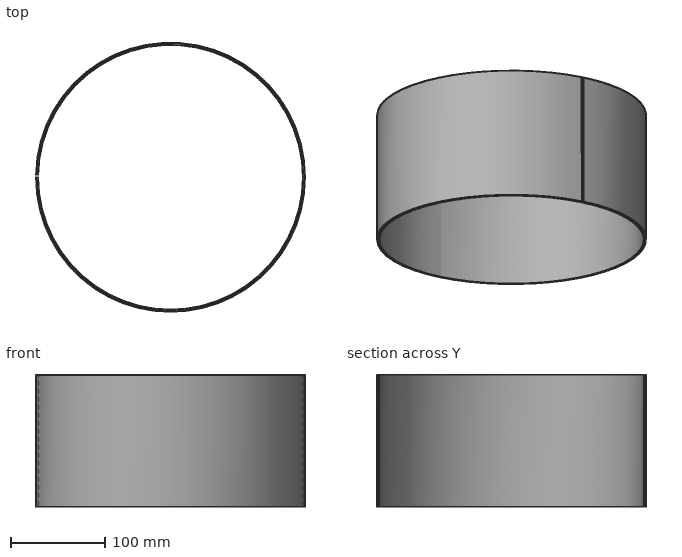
import cadquery as cq

outer_diameter = 285.0
height = 140.0
wall = 2.5

outer_chamfer = 0.5
bore_chamfer = 0.2

slit_angle = 1.0

outer_radius = outer_diameter / 2
bore_radius = outer_radius - wall


def make_ring():
    """Thin tube standing on Z = 0, with all four rim edges bevelled."""
    body = cq.Workplane("XY").circle(outer_radius).extrude(height)
    body = body.faces("<Z or >Z").chamfer(outer_chamfer)
    body = body.faces(">Z").workplane().circle(bore_radius).cutThruAll()
    bore_edges = cq.selectors.RadiusNthSelector(0)
    return body.faces("<Z or >Z").edges(bore_edges).chamfer(bore_chamfer)


def make_slit():
    """Full-height wedge that opens the wall on the -X side."""
    section = cq.Workplane("XZ").rect(-(outer_radius + wall), height, centered=False)
    return section.revolve(slit_angle, (0, 0, 0), (0, -1, 0))


result = make_ring().cut(make_slit())